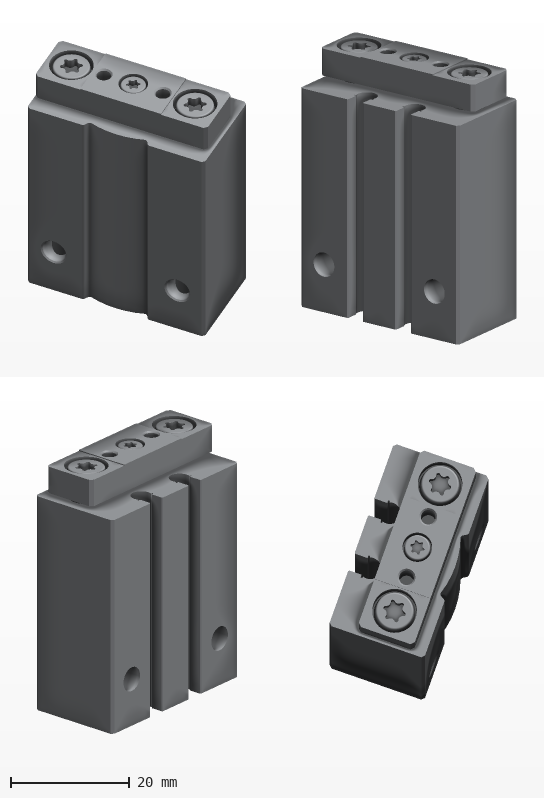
import cadquery as cq
import math

HOUSING_WIDTH = 33.0
HOUSING_HEIGHT = 39.0
HOUSING_FRONT = -7.0
HOUSING_BACK = 10.0
CORNER_CHAMFER = 0.5

GROOVE_HALF_WIDTH = 6.0
GROOVE_DEPTH = 1.1
GROOVE_SLOPE = math.radians(60)
GROOVE_FILLET = 0.6
CROWN_HEIGHT = 0.8

SLOT_SPACING = 10.0
SLOT_MOUTH_WIDTH = 3.0
SLOT_MOUTH_DEPTH = 2.35
SLOT_MOUTH_CHAMFER = 0.2
SLOT_STEP_WIDTH = 4.0
SLOT_STEP_HEIGHT = 0.3
SLOT_BORE_DIAMETER = 3.7
SLOT_BORE_DEPTH = 3.35

ROD_SPACING = 23.0
CROSS_HOLE_DIAMETER = 4.3
CROSS_HOLE_MOUTH = 4.8
CROSS_HOLE_HEIGHT = 8.5

BOTTOM_HOLE_DIAMETER = 4.0
BOTTOM_HOLE_Y = -3.0

PLATE_WIDTH = 32.0
PLATE_DEPTH = 10.0
PLATE_GAP = 1.0
PLATE_CHAMFER = 0.6
PLATE_TOP = 45.0
PAD_WIDTH = 15.0
PAD_HEIGHT = 0.2
PLATE_BOTTOM = HOUSING_HEIGHT + PLATE_GAP
PLATE_SHOULDER = PLATE_TOP - PAD_HEIGHT

GUIDE_ROD_DIAMETER = 6.0
GUIDE_ROD_CHAMFER = 0.2
GUIDE_ROD_CHAMFER_HEIGHT = 0.3
PISTON_ROD_DIAMETER = 4.0

MOUNT_HOLE_SPACING = 11.0
MOUNT_HOLE_DIAMETER = 2.48
MOUNT_HOLE_MOUTH = 3.0

LOBE_COUNT = 6
SOCKET_VALLEY_RATIO = 0.7
HEAD_DROP = 0.2
RECESS_DEPTH = 2.48

GUIDE_RECESS_DIAMETER = 7.5
GUIDE_HEAD_DIAMETER = 7.0
GUIDE_HEAD_SHOULDER = 6.4
GUIDE_HEAD_FILLET = 0.3
GUIDE_SOCKET_DIAMETER = 3.9
GUIDE_SOCKET_DEPTH = 1.6

PISTON_RECESS_DIAMETER = 5.0
PISTON_HEAD_DIAMETER = 4.5
PISTON_HEAD_SHOULDER = 4.3
PISTON_HEAD_FILLET = 0.25
PISTON_SOCKET_DIAMETER = 2.48
PISTON_SOCKET_DEPTH = 1.1


def pair(spacing):
    """X places of two features mirrored about the centre plane."""
    return (-spacing / 2, spacing / 2)


def front_groove():
    """Flat-floored groove, its four corners rounded, with a crowned strip on the floor."""
    floor_y = HOUSING_FRONT + GROOVE_DEPTH
    slope_width = GROOVE_DEPTH / math.tan(GROOVE_SLOPE)
    floor_half_width = GROOVE_HALF_WIDTH - slope_width
    fillet_reach = GROOVE_FILLET * math.tan(GROOVE_SLOPE / 2)
    rim_half_width = GROOVE_HALF_WIDTH + fillet_reach
    crown_half_width = floor_half_width - fillet_reach

    step_x = fillet_reach * math.cos(GROOVE_SLOPE)
    step_y = fillet_reach * math.sin(GROOVE_SLOPE)
    middle_x = GROOVE_FILLET * math.sin(GROOVE_SLOPE / 2)
    middle_y = GROOVE_FILLET * (1 - math.cos(GROOVE_SLOPE / 2))

    return (
        cq.Workplane("XY")
        .moveTo(-rim_half_width, HOUSING_FRONT)
        .threePointArc(
            (-rim_half_width + middle_x, HOUSING_FRONT + middle_y),
            (-GROOVE_HALF_WIDTH + step_x, HOUSING_FRONT + step_y),
        )
        .lineTo(-floor_half_width - step_x, floor_y - step_y)
        .threePointArc(
            (-crown_half_width - middle_x, floor_y - middle_y),
            (-crown_half_width, floor_y),
        )
        .threePointArc((0, floor_y - CROWN_HEIGHT), (crown_half_width, floor_y))
        .threePointArc(
            (crown_half_width + middle_x, floor_y - middle_y),
            (floor_half_width + step_x, floor_y - step_y),
        )
        .lineTo(GROOVE_HALF_WIDTH - step_x, HOUSING_FRONT + step_y)
        .threePointArc(
            (rim_half_width - middle_x, HOUSING_FRONT + middle_y),
            (rim_half_width, HOUSING_FRONT),
        )
        .close()
        .extrude(HOUSING_HEIGHT)
    )


def sensor_slot(x):
    """Slot open to the back: chamfered mouth, a step behind it and a round bottom."""
    mouth_half = SLOT_MOUTH_WIDTH / 2
    rim_half = mouth_half + SLOT_MOUTH_CHAMFER
    step_half = SLOT_STEP_WIDTH / 2
    chamfer_y = HOUSING_BACK - SLOT_MOUTH_CHAMFER
    step_y = HOUSING_BACK - SLOT_MOUTH_DEPTH
    step_end_y = step_y - SLOT_STEP_HEIGHT
    bore_y = HOUSING_BACK - SLOT_BORE_DEPTH
    outline = [
        (x - rim_half, HOUSING_BACK),
        (x - mouth_half, chamfer_y),
        (x - mouth_half, step_y),
        (x - step_half, step_y),
        (x - step_half, step_end_y),
        (x - mouth_half, step_end_y),
        (x - mouth_half, bore_y),
        (x + mouth_half, bore_y),
        (x + mouth_half, step_end_y),
        (x + step_half, step_end_y),
        (x + step_half, step_y),
        (x + mouth_half, step_y),
        (x + mouth_half, chamfer_y),
        (x + rim_half, HOUSING_BACK),
    ]
    channel = cq.Workplane("XY").polyline(outline).close().extrude(HOUSING_HEIGHT)
    bore = cq.Workplane("XY").center(x, bore_y).circle(SLOT_BORE_DIAMETER / 2).extrude(HOUSING_HEIGHT)
    return channel.union(bore)


def countersunk_hole(diameter, mouth_diameter, length):
    """Hole cutter running up from Z = -length to Z = 0, its mouth at Z = 0 chamfered at 45 degrees."""
    radius = diameter / 2
    mouth_radius = mouth_diameter / 2
    chamfer = mouth_radius - radius
    outline = [(0, -length), (radius, -length), (radius, -chamfer), (mouth_radius, 0), (0, 0)]
    return cq.Workplane("XZ").polyline(outline).close().revolve(360, (0, 0, 0), (0, 1, 0))


def cross_hole(x):
    """Hole through the housing along Y, countersunk at the front."""
    cutter = countersunk_hole(CROSS_HOLE_DIAMETER, CROSS_HOLE_MOUTH, HOUSING_BACK - HOUSING_FRONT)
    cutter = cutter.rotate((0, 0, 0), (1, 0, 0), 90)
    return cutter.translate((x, HOUSING_FRONT, CROSS_HOLE_HEIGHT))


def bottom_hole(x):
    """Blind hole up from the bottom face, ending at the axis of the cross hole."""
    return (
        cq.Workplane("XY")
        .center(x, BOTTOM_HOLE_Y)
        .circle(BOTTOM_HOLE_DIAMETER / 2)
        .extrude(CROSS_HOLE_HEIGHT)
    )


def make_housing():
    """Grooved and slotted block with its cross holes and bottom holes."""
    depth = HOUSING_BACK - HOUSING_FRONT
    housing = (
        cq.Workplane("XY")
        .center(0, (HOUSING_BACK + HOUSING_FRONT) / 2)
        .rect(HOUSING_WIDTH, depth)
        .extrude(HOUSING_HEIGHT)
        .edges("|Z")
        .chamfer(CORNER_CHAMFER)
        .cut(front_groove())
    )
    for x in pair(SLOT_SPACING):
        housing = housing.cut(sensor_slot(x))
    for x in pair(ROD_SPACING):
        housing = housing.cut(cross_hole(x)).cut(bottom_hole(x))
    return housing


def plate():
    """Chamfered plate with a slightly raised pad across its middle."""
    slab = (
        cq.Workplane("XY", origin=(0, 0, PLATE_BOTTOM))
        .rect(PLATE_WIDTH, PLATE_DEPTH)
        .extrude(PLATE_SHOULDER - PLATE_BOTTOM)
        .edges("|Z")
        .chamfer(PLATE_CHAMFER)
    )
    pad = (
        cq.Workplane("XY", origin=(0, 0, PLATE_SHOULDER))
        .rect(PAD_WIDTH, PLATE_DEPTH)
        .extrude(PAD_HEIGHT)
    )
    body = slab.union(pad)
    for x in pair(MOUNT_HOLE_SPACING):
        cutter = countersunk_hole(MOUNT_HOLE_DIAMETER, MOUNT_HOLE_MOUTH, PLATE_TOP - PLATE_BOTTOM)
        body = body.cut(cutter.translate((x, 0, PLATE_TOP)))
    return body


def guide_rod(x):
    """Rod standing on the top face of the housing, its upper end chamfered under the plate."""
    radius = GUIDE_ROD_DIAMETER / 2
    outline = [
        (0, HOUSING_HEIGHT),
        (radius, HOUSING_HEIGHT),
        (radius, PLATE_BOTTOM - GUIDE_ROD_CHAMFER_HEIGHT),
        (radius - GUIDE_ROD_CHAMFER, PLATE_BOTTOM),
        (0, PLATE_BOTTOM),
    ]
    rod = cq.Workplane("XZ").polyline(outline).close().revolve(360, (0, 0, 0), (0, 1, 0))
    return rod.translate((x, 0, 0))


def piston_rod():
    """Rod standing on the top face of the housing."""
    return (
        cq.Workplane("XY", origin=(0, 0, HOUSING_HEIGHT))
        .circle(PISTON_ROD_DIAMETER / 2)
        .extrude(PLATE_GAP)
    )


def polar(radius, angle):
    """X and Y of a point at the given radius and angle."""
    return (radius * math.cos(angle), radius * math.sin(angle))


def drive_socket(diameter, depth):
    """Six-lobed socket cutter below Z = 0: a convex arc round each tip, a concave arc between tips."""
    tip_radius = diameter / 2
    valley_radius = tip_radius * SOCKET_VALLEY_RATIO
    join_radius = (tip_radius + valley_radius) / 2
    pitch = 2 * math.pi / LOBE_COUNT
    first_tip = math.pi / 2
    tip_half_angle = pitch / 5

    outline = cq.Workplane("XY").moveTo(*polar(join_radius, first_tip - tip_half_angle))
    for lobe in range(LOBE_COUNT):
        tip = first_tip + lobe * pitch
        outline = outline.threePointArc(
            polar(tip_radius, tip), polar(join_radius, tip + tip_half_angle)
        )
        outline = outline.threePointArc(
            polar(valley_radius, tip + pitch / 2),
            polar(join_radius, tip + pitch - tip_half_angle),
        )
    return outline.close().extrude(-depth)


def screw_head(diameter, shoulder_diameter, fillet, socket_diameter, socket_depth):
    """Tapered screw head with a rounded rim, its top face at Z = 0 and a socket in it."""
    height = RECESS_DEPTH - HEAD_DROP
    shoulder = shoulder_diameter / 2
    arc_reach = fillet * math.sqrt(0.5)
    head = (
        cq.Workplane("XZ")
        .moveTo(0, -height)
        .lineTo(diameter / 2, -height)
        .lineTo(shoulder, -fillet)
        .threePointArc(
            (shoulder - fillet + arc_reach, -fillet + arc_reach),
            (shoulder - fillet, 0),
        )
        .lineTo(0, 0)
        .close()
        .revolve(360, (0, 0, 0), (0, 1, 0))
    )
    return head.cut(drive_socket(socket_diameter, socket_depth))


def add_screw(body, x, surface, recess_diameter, head):
    """Counterbore the body below the given surface height and seat the screw head in it."""
    recess = cq.Workplane("XY", origin=(x, 0, surface)).circle(recess_diameter / 2).extrude(-RECESS_DEPTH)
    return body.cut(recess).union(head.translate((x, 0, surface - HEAD_DROP)))


def make_carriage():
    """Moving body: the plate with its guide rods, piston rod and screws."""
    carriage = plate().union(piston_rod())
    guide_head = screw_head(
        GUIDE_HEAD_DIAMETER,
        GUIDE_HEAD_SHOULDER,
        GUIDE_HEAD_FILLET,
        GUIDE_SOCKET_DIAMETER,
        GUIDE_SOCKET_DEPTH,
    )
    piston_head = screw_head(
        PISTON_HEAD_DIAMETER,
        PISTON_HEAD_SHOULDER,
        PISTON_HEAD_FILLET,
        PISTON_SOCKET_DIAMETER,
        PISTON_SOCKET_DEPTH,
    )
    for x in pair(ROD_SPACING):
        carriage = carriage.union(guide_rod(x))
        carriage = add_screw(carriage, x, PLATE_SHOULDER, GUIDE_RECESS_DIAMETER, guide_head)
    return add_screw(carriage, 0, PLATE_TOP, PISTON_RECESS_DIAMETER, piston_head)


housing = make_housing()
carriage = make_carriage()

result = cq.Compound.makeCompound([housing.solids().val(), carriage.solids().val()])